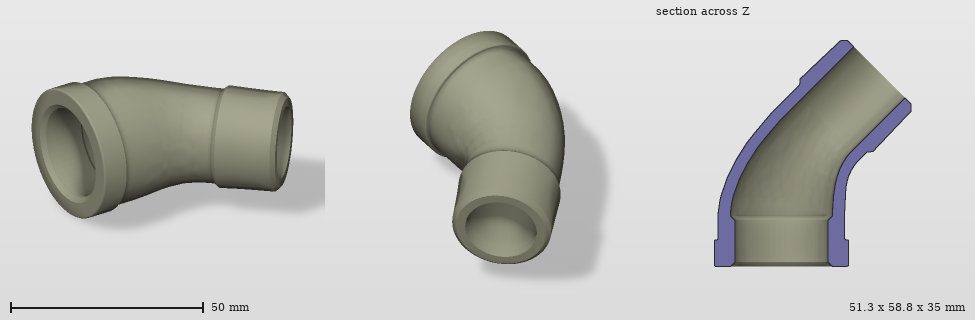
import cadquery as cq
import math


BEND_ANGLE = 45.0
SOCKET_LEG = 25.0
SPIGOT_LEG = 36.0

COLLAR_RADIUS = 17.5
COLLAR_LENGTH = 7.0
COLLAR_FRONT_FILLET = 0.5
COLLAR_BACK_CHAMFER = 0.2
NECK_ROOT_FILLET = 0.35
NECK_RADIUS = 16.5
NECK_END = 14.0
BORE_RADIUS = 12.06
MOUTH_CHAMFER = 1.16
BORE_LENGTH = 12.0

SPIGOT_LENGTH = 15.8
SPIGOT_BASE_RADIUS = 13.4
SPIGOT_TIP_RADIUS = 13.0
SPIGOT_TIP_CHAMFER = 1.24
SHOULDER_LENGTH = 1.2
TUBE_RADIUS = 12.4
TUBE_LENGTH = 2.1
SPIGOT_BORE_RADIUS = 9.4

BEND_BORE_RADIUS = 13.2
BEND_SECTIONS = 5
BEND_HANDLE_RATIO = 0.57
BEND_END = SPIGOT_LEG - SPIGOT_LENGTH - SHOULDER_LENGTH - TUBE_LENGTH

SPIGOT_X = math.sin(math.radians(BEND_ANGLE))
SPIGOT_Y = math.cos(math.radians(BEND_ANGLE))


def revolve_about_y(outline):
    """Solid of revolution about Y from (radius, y) points."""
    return cq.Workplane("XY").polyline(outline).close().revolve(360, (0, 0, 0), (0, 1, 0))


def place_on_spigot_axis(body):
    """Turn a body built along Y, with y = 0 at the axis crossing, onto the spigot axis."""
    turned = body.rotate((0, 0, 0), (0, 0, 1), -BEND_ANGLE)
    return turned.translate((0, SOCKET_LEG, 0))


def cubic(t, p0, p1, p2, p3):
    """Cubic Bezier coordinate at parameter t."""
    u = 1 - t
    return u**3 * p0 + 3 * u**2 * t * p1 + 3 * u * t**2 * p2 + t**3 * p3


def bend_loft(start_radius, end_radius):
    """Tapering bend: circles along a cubic curve, their tilt and radius eased at both ends."""
    start_handle = BEND_HANDLE_RATIO * (SOCKET_LEG - NECK_END)
    end_reach = BEND_END * (1 - BEND_HANDLE_RATIO)
    curve_x = (0, 0, end_reach * SPIGOT_X, BEND_END * SPIGOT_X)
    curve_y = (
        NECK_END,
        NECK_END + start_handle,
        SOCKET_LEG + end_reach * SPIGOT_Y,
        SOCKET_LEG + BEND_END * SPIGOT_Y,
    )
    sections = []
    for i in range(BEND_SECTIONS):
        t = i / (BEND_SECTIONS - 1)
        centre = cq.Vector(cubic(t, *curve_x), cubic(t, *curve_y), 0)
        tilt = math.radians(cubic(t, 0, 0, BEND_ANGLE, BEND_ANGLE))
        direction = cq.Vector(math.sin(tilt), math.cos(tilt), 0)
        radius = cubic(t, start_radius, start_radius, end_radius, end_radius)
        plane = cq.Plane(origin=centre, xDir=(direction.y, -direction.x, 0), normal=direction)
        circle = cq.Workplane(plane).circle(radius).val()
        sections.append(cq.Wire.assembleEdges(circle.Edges()))
    return cq.Workplane(cq.Solid.makeLoft(sections))


def socket_outside():
    """Collar and neck, with a rounded mouth edge and a rounded root behind the collar."""
    collar_back_radius = COLLAR_RADIUS - COLLAR_BACK_CHAMFER
    profile = (
        cq.Workplane("XY")
        .lineTo(COLLAR_RADIUS - COLLAR_FRONT_FILLET, 0)
        .radiusArc((COLLAR_RADIUS, COLLAR_FRONT_FILLET), -COLLAR_FRONT_FILLET)
        .lineTo(COLLAR_RADIUS, COLLAR_LENGTH - COLLAR_BACK_CHAMFER)
        .lineTo(collar_back_radius, COLLAR_LENGTH)
        .lineTo(NECK_RADIUS + NECK_ROOT_FILLET, COLLAR_LENGTH)
        .radiusArc((NECK_RADIUS, COLLAR_LENGTH + NECK_ROOT_FILLET), NECK_ROOT_FILLET)
        .lineTo(NECK_RADIUS, NECK_END)
        .lineTo(0, NECK_END)
        .close()
    )
    return profile.revolve(360, (0, 0, 0), (0, 1, 0))


def socket_bore():
    relief_start = BORE_LENGTH + BEND_BORE_RADIUS - BORE_RADIUS
    return revolve_about_y(
        [
            (0, 0),
            (BORE_RADIUS + MOUTH_CHAMFER, 0),
            (BORE_RADIUS, MOUTH_CHAMFER),
            (BORE_RADIUS, BORE_LENGTH),
            (BEND_BORE_RADIUS, relief_start),
            (BEND_BORE_RADIUS, NECK_END),
            (0, NECK_END),
        ]
    )


def spigot_outside():
    base = SPIGOT_LEG - SPIGOT_LENGTH
    outside = revolve_about_y(
        [
            (0, BEND_END),
            (TUBE_RADIUS, BEND_END),
            (TUBE_RADIUS, base - SHOULDER_LENGTH),
            (SPIGOT_BASE_RADIUS, base),
            (SPIGOT_TIP_RADIUS, SPIGOT_LEG - SPIGOT_TIP_CHAMFER),
            (SPIGOT_TIP_RADIUS - SPIGOT_TIP_CHAMFER, SPIGOT_LEG),
            (0, SPIGOT_LEG),
        ]
    )
    return place_on_spigot_axis(outside)


def spigot_bore():
    bore = revolve_about_y(
        [
            (0, BEND_END),
            (SPIGOT_BORE_RADIUS, BEND_END),
            (SPIGOT_BORE_RADIUS, SPIGOT_LEG),
            (0, SPIGOT_LEG),
        ]
    )
    return place_on_spigot_axis(bore)


socket = socket_outside().cut(socket_bore())
bend = bend_loft(NECK_RADIUS, TUBE_RADIUS).cut(bend_loft(BEND_BORE_RADIUS, SPIGOT_BORE_RADIUS))
spigot = spigot_outside().cut(spigot_bore())

result = socket.union(bend, glue=True).union(spigot, glue=True)